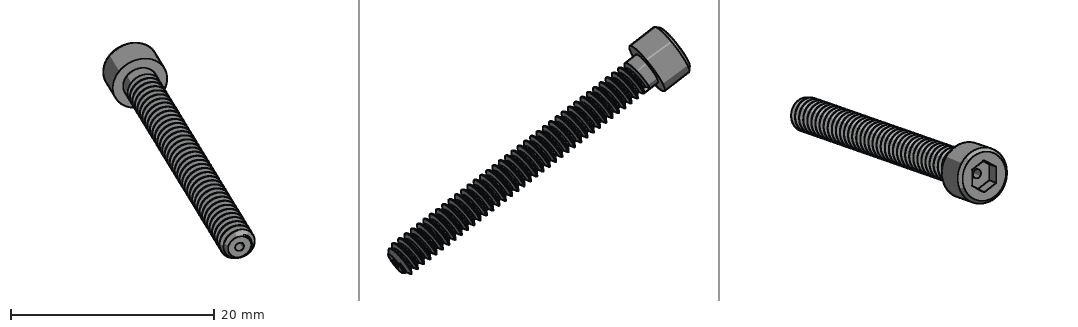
import cadquery as cq
import math


total_length = 35.2
head_diameter = 5.63
head_length = 3.45
head_chamfer = 0.35
shank_diameter = 3.52
shank_length = total_length - head_length
tip_chamfer = 0.55

socket_across_flats = 2.78
socket_depth = 1.4
bore_diameter = 0.9

pitches_along_shank = 40
pitch = shank_length / pitches_along_shank
plain_shank_length = 1.05
crest_width = pitch / 8
root_width = pitch / 4
flank_tangent = math.tan(math.radians(30))
mouth_width = pitch - crest_width
groove_depth = (mouth_width - root_width) / (2 * flank_tangent)
tip_allowance = 4 * pitch
turns_per_segment = 8
segment_count = pitches_along_shank // turns_per_segment
segment_length = turns_per_segment * pitch
groove_overshoot = 0.05


def disc(diameter, start_x, length):
    """Cylinder on the X axis."""
    return cq.Workplane("YZ", origin=(start_x, 0, 0)).circle(diameter / 2).extrude(length)


def make_head():
    """Cylindrical head chamfered at its outer end."""
    return disc(head_diameter, 0, head_length).faces("<X").chamfer(head_chamfer)


def make_thread_groove():
    """Right-handed helical cutter that starts on the +Y side and ends past the tip."""
    shank_radius = shank_diameter / 2
    root_radius = shank_radius - groove_depth
    outer_radius = shank_radius + groove_overshoot
    half_root = root_width / 2
    half_outer = mouth_width / 2 + groove_overshoot * flank_tangent

    helix = cq.Wire.makeHelix(pitch, segment_length, root_radius)
    links = [helix.translate(cq.Vector(0, 0, i * segment_length)) for i in range(segment_count)]
    path = cq.Workplane(cq.Wire.combine(links)[0])
    profile = cq.Workplane("XZ").polyline(
        [
            (root_radius, -half_root),
            (outer_radius, -half_outer),
            (outer_radius, half_outer),
            (root_radius, half_root),
        ]
    ).close()
    groove = profile.sweep(path, isFrenet=True)
    groove = groove.rotate((0, 0, 0), (0, 0, 1), 90).rotate((0, 0, 0), (0, 1, 0), 90)
    groove_start = head_length + plain_shank_length + mouth_width / 2
    return groove.translate((groove_start, 0, 0))


def make_threaded_shank():
    """Shank threaded at extra length, then trimmed to a chamfered tip."""
    rod = disc(shank_diameter, head_length, shank_length + tip_allowance)
    threaded_rod = rod.cut(make_thread_groove())

    envelope = disc(head_diameter, 0, total_length)
    envelope = envelope.faces(">X").chamfer(tip_chamfer + (head_diameter - shank_diameter) / 2)
    return threaded_rod.intersect(envelope)


def make_socket():
    """Hexagonal drive socket with corners pointing along Z."""
    across_corners = socket_across_flats / math.cos(math.radians(30))
    hexagon = cq.Workplane("YZ").polygon(6, across_corners).extrude(socket_depth)
    return hexagon.rotate((0, 0, 0), (1, 0, 0), 90)


result = make_head().union(make_threaded_shank())
result = result.cut(make_socket())
result = result.cut(disc(bore_diameter, 0, total_length))